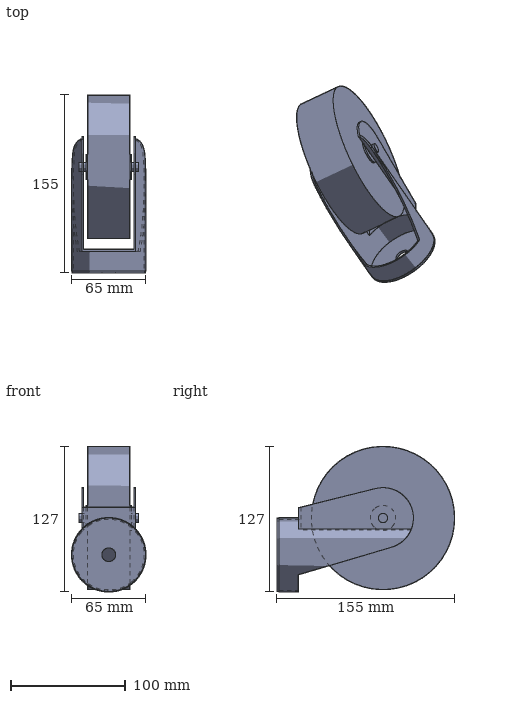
import cadquery as cq
import math


overall_length = 155.0
overall_height = 127.0

wheel_radius = 62.5
wheel_width = 36.7
hub_diameter = 22.0
hub_width = 39.5
axle_diameter = 8.0
axle_length = 52.0

collar_diameter = 65.0
collar_length = 18.9
collar_wall = 1.5
cap_thickness = 2.0
cap_inset = 0.5
mount_hole_diameter = 12.0

fork_width = 47.0
plate_thickness = 1.5
web_thickness = 2.0
fork_end_radius = 26.5
web_top_z = 9.0
web_bottom_z = -49.5

collar_radius = collar_diameter / 2
collar_z = -(overall_height - wheel_radius - collar_radius)
collar_front_y = wheel_radius - overall_length
web_front_y = collar_front_y + collar_length
slot_width = fork_width - 2 * plate_thickness


def cylinder_x(diameter, length):
    """Cylinder on the axle line, centred on the middle plane."""
    return cq.Workplane("YZ", origin=(-length / 2, 0, 0)).circle(diameter / 2).extrude(length)


def cylinder_y(diameter, start_y, end_y):
    """Cylinder on the collar axis, running from start_y to end_y."""
    return (
        cq.Workplane("XZ", origin=(0, start_y, collar_z))
        .circle(diameter / 2)
        .extrude(start_y - end_y)
    )


def tangent_point(y, z, side):
    """Point where a line from (y, z) touches the fork end; side is 1 for above, -1 for below."""
    angle = math.atan2(z, y) - side * math.acos(fork_end_radius / math.hypot(y, z))
    return fork_end_radius * math.cos(angle), fork_end_radius * math.sin(angle)


def make_fork_profile():
    """Tapered side outline with a round end about the axle, extruded across the collar width."""
    return (
        cq.Workplane("YZ", origin=(-collar_radius, 0, 0))
        .moveTo(web_front_y, web_bottom_z)
        .lineTo(web_front_y, web_top_z)
        .lineTo(*tangent_point(web_front_y, web_top_z, 1))
        .threePointArc((fork_end_radius, 0), tangent_point(web_front_y, web_bottom_z, -1))
        .close()
        .extrude(collar_diameter)
    )


def make_fork():
    arm_length = fork_end_radius - web_front_y
    flat_section = cq.Workplane("XY").box(
        fork_width, arm_length, 2 * collar_diameter, centered=(True, False, True)
    ).translate((0, web_front_y, 0))
    round_section = cylinder_y(collar_diameter, web_front_y, fork_end_radius)
    arms = make_fork_profile().intersect(flat_section.union(round_section))

    wheel_slot = cq.Workplane("XY").box(
        slot_width, arm_length, 2 * collar_diameter, centered=(True, False, True)
    ).translate((0, web_front_y + web_thickness, 0))
    arms = arms.cut(wheel_slot)

    cap_back_y = collar_front_y + cap_thickness
    collar = cylinder_y(collar_diameter, cap_back_y, web_front_y)
    cap = cylinder_y(collar_diameter - 2 * cap_inset, collar_front_y, cap_back_y)

    bore = cylinder_y(collar_diameter - 2 * collar_wall, cap_back_y, fork_end_radius)
    mount_hole = cylinder_y(mount_hole_diameter, collar_front_y, cap_back_y)
    axle_holes = cylinder_x(axle_diameter, collar_diameter)
    return arms.union(collar).union(cap).cut(bore).cut(mount_hole).cut(axle_holes)


def make_wheel():
    tread = cylinder_x(2 * wheel_radius, wheel_width)
    hub = cylinder_x(hub_diameter, hub_width)
    axle = cylinder_x(axle_diameter, axle_length)
    return tread.union(hub).union(axle)


fork = make_fork()
wheel = make_wheel()
result = cq.Compound.makeCompound([fork.val(), wheel.val()])